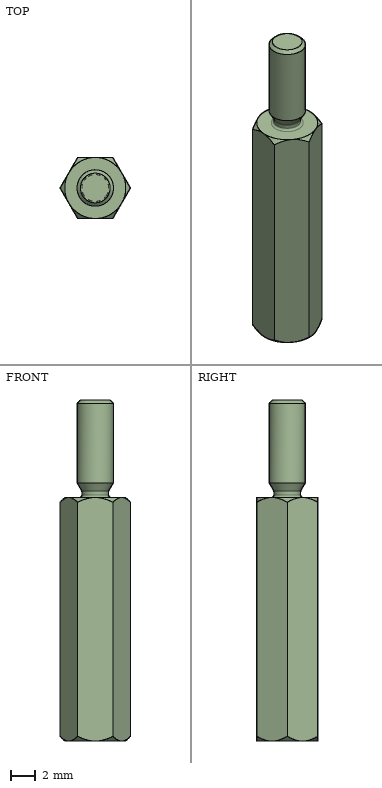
import cadquery as cq
import math

total_length = 28.0
hex_length = 20.0
across_flats = 5.0
across_corners = across_flats / math.cos(math.radians(30))

corner_chamfer_angle = 45.0
corner_chamfer_radius = across_flats / 2
corner_radius = across_corners / 2
corner_chamfer_height = (corner_radius - corner_chamfer_radius) * math.tan(
    math.radians(corner_chamfer_angle)
)

stud_radius = 3.0 / 2
tip_chamfer = 0.28
neck_radius = 2.2 / 2
neck_fillet_radius = 0.2
thread_start = hex_length + 1.2
runout_half_angle = 30.0
neck_top = thread_start - (stud_radius - neck_radius) / math.tan(math.radians(runout_half_angle))


def revolve_profile(points):
    """Solid of revolution about Z from (radius, height) points."""
    return cq.Workplane("XZ").polyline(points).close().revolve(360, (0, 0), (0, 1))


def make_hex_body():
    prism = cq.Workplane("XY").polygon(6, across_corners).extrude(hex_length)
    envelope = revolve_profile([
        (0, 0),
        (corner_chamfer_radius, 0),
        (corner_radius, corner_chamfer_height),
        (corner_radius, hex_length - corner_chamfer_height),
        (corner_chamfer_radius, hex_length),
        (0, hex_length),
    ])
    return prism.intersect(envelope)


def make_stud():
    return revolve_profile([
        (0, hex_length),
        (neck_radius, hex_length),
        (neck_radius, neck_top),
        (stud_radius, thread_start),
        (stud_radius, total_length - tip_chamfer),
        (stud_radius - tip_chamfer, total_length),
        (0, total_length),
    ])


def fillet_neck(body):
    """Round the neck where it meets the hexagon and the thread runout."""
    search_radius = (neck_radius + stud_radius) / 2
    neck_zone = cq.selectors.BoxSelector(
        (-search_radius, -search_radius, hex_length - neck_fillet_radius),
        (search_radius, search_radius, (neck_top + thread_start) / 2),
        boundingbox=True,
    )
    neck_circles = body.edges(neck_zone).edges("%CIRCLE")
    return neck_circles.fillet(neck_fillet_radius)


result = fillet_neck(make_hex_body().union(make_stud()))